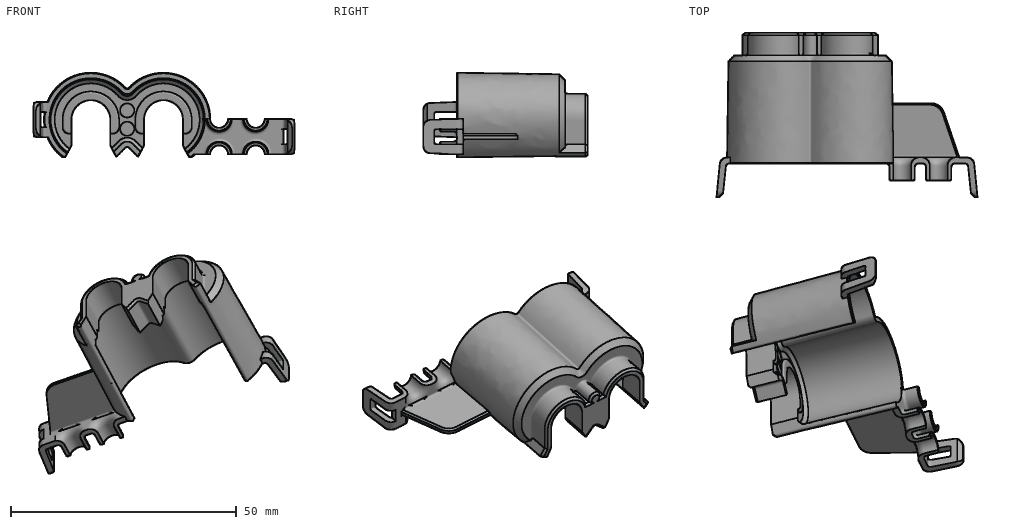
import cadquery as cq
import math


tub_offset = 8.05
tub_radius = 10.4
wall = 1.2
draft = 0.8
tub_length = 23.95
shoulder = 1.35
floor_chamfer = 0.85
mouth_chamfer = 0.2
valley_radius = 0.5
notch_apex_z = -5.85
notch_radius = 0.6

bore_radius = 4.3
flare_start_z = -5.75
flare_angle = 28.0
tip_radius = 0.5

pad_radius = 6.25
pad_height = 0.6
pad_bottom_z = -3.1
pad_rounding = 0.45
pad_corner_radius = 1.45
post_radius = 1.55
post_z = 2.0
post_height = 0.2

boss_radius = 5.8
boss_end_y = 29.0
boss_chamfer = 0.5
boss_base_fillet = 0.45
web_top_z = 1.6
foot_top_z = -5.5
foot_slope = 1.5

plate_top = 0.2
plate_height = 7.9
plate_thickness = 1.4
grommet_first_x = 20.4
grommet_pitch = 8.1
grommet_count = 2
grommet_bore = 1.95
grommet_radius = 2.85
grommet_front_y = -3.75
grommet_flare = 0.75
grommet_entry = 1.85
grommet_end_chamfer = 0.25

shelf_thickness = 1.15
shelf_back_y = 13.45
shelf_corner_x = 28.95
shelf_front_x = 33.05
shelf_corner_radius = 3.2
shelf_edge_chamfer = 0.4
shelf_root_fillet = 0.45

right_latch_x = 37.1
left_latch_x = -20.8
latch_root_length = 5.2
latch_tip_y = -7.45
latch_thickness = 1.5
latch_lean = 0.7
latch_bend_radius = 1.75
latch_bend_fillet = 0.7
latch_narrowing = 0.3
latch_corner_radius = 1.6
latch_tip_chamfer = 0.9
window_height = 3.3
window_end_y = -5.0
window_root_x = -3.2
window_corner_radius = 0.35

floor_y = tub_length - wall
lip_y = floor_y - floor_chamfer
shoulder_y = tub_length - shoulder
plate_bottom = plate_top - plate_height
plate_middle_z = (plate_top + plate_bottom) / 2
reach = 2 * tub_radius
margin = 0.05
sides = (-1, 1)



def xz():
    return cq.Workplane("XZ")


def prism(outline, y_start, y_end):
    """Extrude an XZ outline from y_start to y_end."""
    return outline.extrude(y_start - y_end).translate((0, y_start, 0))


def box(x, y, z):
    """Box between the given (low, high) limits."""
    size = [high - low for low, high in (x, y, z)]
    return cq.Workplane("XY").box(*size, centered=False).translate((x[0], y[0], z[0]))


def arch(radius, bottom_z, y_start, y_end):
    """Round-topped block around a tub centre at x = 0."""
    outline = (
        xz()
        .moveTo(-radius, 0)
        .threePointArc((0, radius), (radius, 0))
        .lineTo(radius, bottom_z)
        .lineTo(-radius, bottom_z)
        .close()
    )
    return prism(outline, y_start, y_end)



def draft_at(y):
    """Inward lean of the tub walls at a distance y from the mouth."""
    return y * math.tan(math.radians(draft))


def twin_wire(radius, fillet, y):
    """Figure-eight outline whose two waists are rounded with the given fillet radius."""
    spread = radius + fillet
    fillet_z = math.sqrt(spread**2 - tub_offset**2)
    touch_x = tub_offset * fillet / spread
    touch_z = fillet_z * radius / spread
    waist_z = fillet_z - fillet
    side_x = tub_offset + radius
    outline = (
        cq.Workplane("XZ", origin=(0, y, 0))
        .moveTo(touch_x, touch_z)
        .threePointArc((side_x, 0), (touch_x, -touch_z))
        .threePointArc((0, -waist_z), (-touch_x, -touch_z))
        .threePointArc((-side_x, 0), (-touch_x, touch_z))
        .threePointArc((0, waist_z), (touch_x, touch_z))
        .close()
    )
    return outline.val()


def twin_body(sections):
    """Twin tub body through (inset, y) sections, each inset measured from the outer wall."""
    wires = []
    for inset, y in sections:
        radius = tub_radius - draft_at(y) - inset
        wires.append(twin_wire(radius, valley_radius + inset, y))
    return cq.Workplane(obj=cq.Solid.makeLoft(wires, True))


def notch(inset, y_start):
    """Wedge with a rounded top that forms the valley under the end wall."""
    apex = notch_apex_z + inset * math.sqrt(2)
    points = [(0, apex), (reach, apex - reach), (-reach, apex - reach)]
    wedge = prism(xz().polyline(points).close(), y_start, 2 * reach)
    return wedge.edges("|Y").edges(">Z").fillet(notch_radius + inset)


def opening(side):
    """Bore with straight sides that flares out at the bottom of the tub."""
    drop = reach + flare_start_z
    wide = bore_radius + drop * math.tan(math.radians(flare_angle))
    outline = (
        xz()
        .moveTo(-bore_radius, 0)
        .threePointArc((0, bore_radius), (bore_radius, 0))
        .lineTo(bore_radius, flare_start_z)
        .lineTo(wide, -reach)
        .lineTo(-wide, -reach)
        .lineTo(-bore_radius, flare_start_z)
        .close()
    )
    return prism(outline, -reach, 2 * reach).translate((side * tub_offset, 0, 0))


def cut_openings(body):
    for side in sides:
        body = body.cut(opening(side))
    return body


def round_outer_tips(body, middle_y):
    """Round the lengthwise edges, centred near middle_y, at the outermost wall tips."""
    for side in sides:
        tip_x = sorted((side * tub_offset, side * reach))
        picker = cq.selectors.BoxSelector(
            (tip_x[0], middle_y - shoulder, -reach),
            (tip_x[1], middle_y + shoulder, flare_start_z - wall),
        )
        body = body.edges(picker).fillet(tip_radius)
    return body



def make_collars():
    """Collars joined by a web and a post, with a fillet where they meet the end wall."""
    span = (-reach, reach)
    slab = box(span, (shoulder_y, tub_length), span)
    web = box((-tub_offset, tub_offset), (tub_length, boss_end_y), (-reach, web_top_z))
    post = prism(xz().center(0, post_z).circle(post_radius), tub_length, boss_end_y)
    collars = slab.union(web).union(post)
    for side in sides:
        collar = arch(boss_radius, -reach, tub_length, boss_end_y)
        collars = collars.union(collar.translate((side * tub_offset, 0, 0)))
    rim = reach - margin
    base_line = cq.selectors.BoxSelector(
        (-rim, tub_length - margin, -rim),
        (rim, tub_length + margin, rim),
    )
    return collars.edges(base_line).fillet(boss_base_fillet).cut(slab)


def make_feet():
    """Feet that widen the collars downwards to the outline of the tubs."""
    top_x = tub_offset + boss_radius
    bottom_x = top_x + (foot_top_z + reach) / foot_slope
    outline = [(-top_x, foot_top_z), (top_x, foot_top_z), (bottom_x, -reach), (-bottom_x, -reach)]
    return prism(xz().polyline(outline).close(), shoulder_y, boss_end_y)


def make_bosses():
    """Collars and feet trimmed to the tub outline, with their end edges chamfered."""
    length = boss_end_y - shoulder_y
    trim_wire = twin_wire(tub_radius - draft_at(shoulder_y), valley_radius, shoulder_y)
    trim = cq.Workplane(obj=cq.Solid.extrudeLinear(trim_wire, [], cq.Vector(0, length, 0)))
    bosses = make_collars().union(make_feet()).intersect(trim).cut(notch(0, 0))
    bosses = bosses.faces(">Y").chamfer(boss_chamfer)
    rounded_trim = round_outer_tips(cut_openings(trim), shoulder_y + length / 2)
    return bosses.intersect(rounded_trim)



def make_pad(side):
    """Raised rim around a bore."""
    pad = arch(pad_radius, pad_bottom_z, floor_y - pad_height, floor_y)
    pad = pad.edges("|Y and <Z").fillet(pad_corner_radius)
    pad = pad.faces("<Y").edges().fillet(pad_rounding)
    return pad.translate((side * tub_offset, 0, 0))


def make_post(side):
    outline = xz().center(0, side * post_z).circle(post_radius)
    return prism(outline, floor_y - post_height, floor_y)



def make_tubs():
    outer = twin_body([
        (mouth_chamfer, 0),
        (0, mouth_chamfer),
        (0, shoulder_y),
        (shoulder, tub_length),
    ])
    cavity = twin_body([(wall, 0), (wall, lip_y), (wall + floor_chamfer, floor_y)])
    lip = notch(wall + floor_chamfer, lip_y).faces("<Y").chamfer(floor_chamfer)
    cavity = cavity.cut(lip)

    tubs = round_outer_tips(cut_openings(outer), shoulder_y / 2)
    tubs = tubs.cut(notch(0, 0)).cut(cavity)
    tubs = tubs.cut(box((-tub_offset, tub_offset), (-reach, lip_y), (-reach, 0)))
    tubs = tubs.union(make_bosses().cut(cavity))
    for side in sides:
        tubs = tubs.union(make_pad(side)).union(make_post(side))
    return cut_openings(tubs)



def grommet_tube():
    """Tube on the front of the plate with a concave flare at its root."""
    flare_x = grommet_radius + grommet_flare
    bulge = grommet_flare * (1 - math.sqrt(0.5))
    profile = (
        cq.Workplane("XY")
        .moveTo(0, plate_thickness)
        .lineTo(flare_x, plate_thickness)
        .lineTo(flare_x, 0)
        .threePointArc((grommet_radius + bulge, -bulge), (grommet_radius, -grommet_flare))
        .lineTo(grommet_radius, grommet_front_y + grommet_end_chamfer)
        .lineTo(grommet_radius - grommet_end_chamfer, grommet_front_y)
        .lineTo(0, grommet_front_y)
        .close()
    )
    return profile.revolve(360, (0, 0, 0), (0, 1, 0))


def grommet_hole():
    """Bore of a grommet with a rounded entry at the back of the plate."""
    entry_x = grommet_bore + grommet_entry
    entry_y = plate_thickness - grommet_entry
    bulge = grommet_entry * (1 - math.sqrt(0.5))
    profile = (
        cq.Workplane("XY")
        .moveTo(0, plate_thickness)
        .lineTo(entry_x, plate_thickness)
        .threePointArc((grommet_bore + bulge, plate_thickness - bulge), (grommet_bore, entry_y))
        .lineTo(grommet_bore, grommet_front_y)
        .lineTo(0, grommet_front_y)
        .close()
    )
    return profile.revolve(360, (0, 0, 0), (0, 1, 0))


def make_shelf():
    """Horizontal web between the tub and the back of the plate."""
    outline = [
        (tub_offset, 0),
        (tub_offset, shelf_back_y),
        (shelf_corner_x, shelf_back_y),
        (shelf_front_x, plate_thickness),
        (shelf_front_x, 0),
    ]
    shelf = cq.Workplane("XY").polyline(outline).close().extrude(shelf_thickness)
    shelf = shelf.edges("|Z").edges(">Y").edges(">X").fillet(shelf_corner_radius)
    shelf = shelf.faces(">Z").edges(">Y or >X").chamfer(shelf_edge_chamfer)
    return shelf.translate((0, 0, plate_middle_z - shelf_thickness / 2))


def make_plate():
    end_x = right_latch_x - latch_lean - latch_bend_radius
    height = (plate_bottom, plate_top)
    plate = box((tub_offset, end_x), (0, plate_thickness), height).union(make_shelf())
    root_line = cq.selectors.BoxSelector(
        (tub_offset, plate_thickness - margin, plate_middle_z - shelf_thickness),
        (end_x, plate_thickness + margin, plate_middle_z + shelf_thickness),
    )
    plate = plate.edges(root_line).edges("|X").fillet(shelf_root_fillet)

    columns = [grommet_first_x + i * grommet_pitch for i in range(grommet_count)]
    centres = [(x, 0, z) for x in columns for z in height]
    for centre in centres:
        plate = plate.union(grommet_tube().translate(centre))
    for centre in centres:
        plate = plate.cut(grommet_hole().translate(centre))
    return plate.intersect(box((0, 2 * reach), (-reach, reach), height))



def make_latch():
    """Latch arm centred on z = 0, its tip reaching x = 0 and its root extending towards -X."""
    outer_x = -latch_lean
    inner_x = outer_x - latch_thickness
    half = plate_height / 2
    bend_x = outer_x - latch_bend_radius
    bend_y = plate_thickness - latch_bend_radius
    bend_mid = math.sqrt(0.5) * latch_bend_radius
    profile = (
        cq.Workplane("XY")
        .moveTo(-latch_root_length, 0)
        .lineTo(-latch_root_length, plate_thickness)
        .lineTo(bend_x, plate_thickness)
        .threePointArc((bend_x + bend_mid, bend_y + bend_mid), (outer_x, bend_y))
        .lineTo(0, latch_tip_y)
        .lineTo(latch_tip_chamfer - latch_thickness, latch_tip_y)
        .lineTo(-latch_thickness, latch_tip_y + latch_tip_chamfer)
        .lineTo(inner_x, 0)
        .close()
    )
    arm = profile.extrude(plate_height).translate((0, 0, -half))
    inner_corner = cq.selectors.NearestToPointSelector((inner_x, 0, 0))
    arm = arm.edges("|Z").edges(inner_corner).fillet(latch_bend_fillet)

    tip_half = half - latch_narrowing
    side_outline = [
        (plate_thickness, -half),
        (0, -half),
        (latch_tip_y, -tip_half),
        (latch_tip_y, tip_half),
        (0, half),
        (plate_thickness, half),
    ]
    blank = cq.Workplane("YZ").polyline(side_outline).close().extrude(latch_root_length, both=True)
    blank = blank.edges("|X").edges("<Y").fillet(latch_corner_radius)

    window = box(
        (window_root_x, latch_thickness),
        (window_end_y, 2 * plate_thickness),
        (-window_height / 2, window_height / 2),
    )
    window = window.edges("|X").edges("<Y").fillet(window_corner_radius)
    return arm.intersect(blank).cut(window)



right_latch = make_latch().translate((right_latch_x, 0, plate_middle_z))
left_latch = make_latch().mirror("YZ").translate((left_latch_x, 0, 0))
side_parts = make_plate().union(right_latch).union(left_latch)

tub_core = twin_body([(wall / 2, 0), (wall / 2, floor_y)])
result = make_tubs().union(side_parts.cut(tub_core))